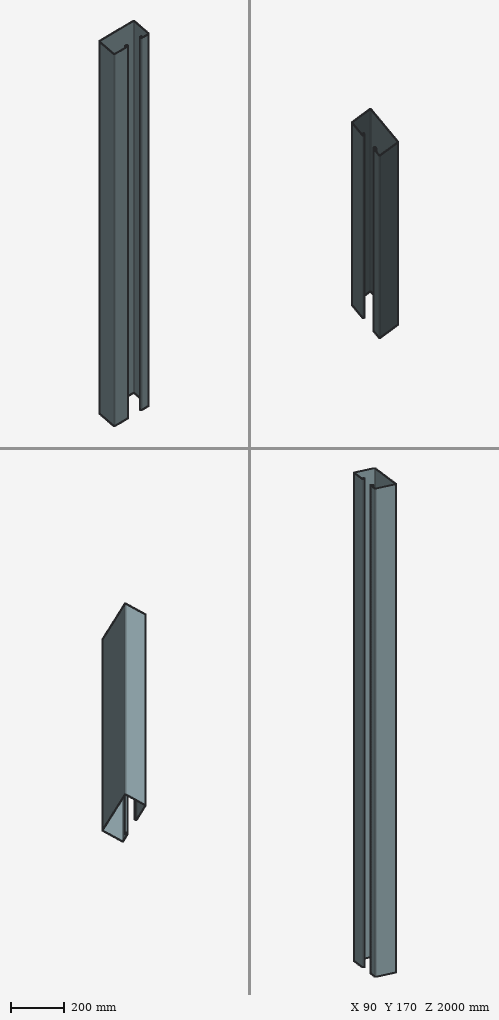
import cadquery as cq

depth = 90.0
width = 170.0
length = 2000.0

sheet = 1.5
bend_radius = 2 * sheet

long_lip = 70.0
short_lip = 40.0

hook_depth = 10.0
hook_leg = 10.0

front_x = depth / 2
long_lip_tip_y = -width / 2 + long_lip
short_lip_tip_y = width / 2 - short_lip


def block(x_min, x_max, y_min, y_max):
    """Full-length rectangular block."""
    return (
        cq.Workplane("XY")
        .center((x_min + x_max) / 2, (y_min + y_max) / 2)
        .rect(x_max - x_min, y_max - y_min)
        .extrude(length)
    )


def bent_tube(x_min, x_max, y_min, y_max):
    """Full-length rectangular sheet tube with rounded bends, given by its outer faces."""
    outside = block(x_min, x_max, y_min, y_max).edges("|Z").fillet(bend_radius)
    inside = block(x_min + sheet, x_max - sheet, y_min + sheet, y_max - sheet)
    return outside.cut(inside.edges("|Z").fillet(bend_radius - sheet))


def channel():
    """Back wall, two flanges and the straight part of the front lips."""
    tube = bent_tube(-front_x, front_x, -width / 2, width / 2)
    opening = block(
        front_x - sheet,
        front_x,
        long_lip_tip_y - hook_leg,
        short_lip_tip_y + hook_leg,
    )
    return tube.cut(opening)


def hook(tip_y, direction):
    """U-shaped lip end with its closed side at tip_y, facing +Y (1) or -Y (-1)."""
    root_y = tip_y - direction * hook_leg
    far_y = root_y - direction * hook_leg
    back_x = front_x - hook_depth
    tube = bent_tube(back_x, front_x, min(tip_y, far_y), max(tip_y, far_y))
    return tube.intersect(block(back_x, front_x, min(tip_y, root_y), max(tip_y, root_y)))


result = channel().union(hook(long_lip_tip_y, 1)).union(hook(short_lip_tip_y, -1))